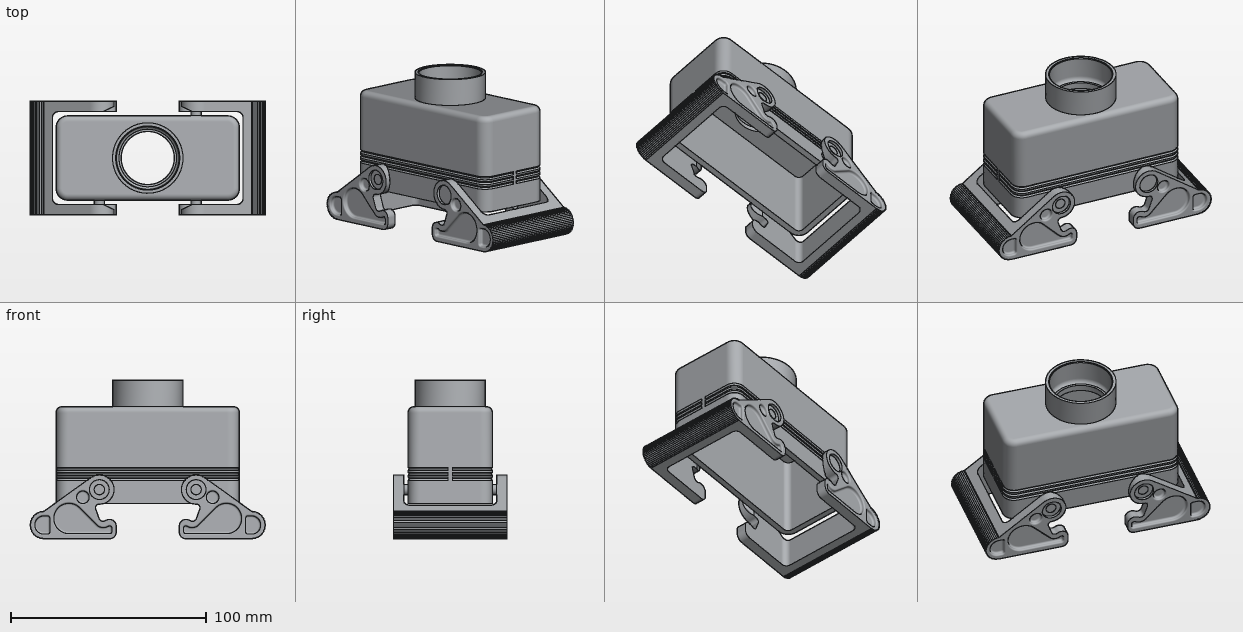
import cadquery as cq
import math

hood_length = 93.6
hood_width = 43.2
hood_bottom = 18.0
hood_top = 67.5
hood_corner_radius = 6.0
hood_top_radius = 3.0
wall = 3.0
roof = 3.0

collar_top = 81.0
collar_radius = 18.0
bore_radius = 16.0
bore_depth = 13.2
cove_width = 1.3
cove_height = 2.3
bore_lip = 0.4
entry_radius = 13.5

groove_tops = (36.5, 34.0, 31.5)
groove_width = 1.6
groove_depth = 0.7
groove_gap = 2.3

lever_width = 58.0
lever_end = 60.05
arm_thickness = 5.35
window_end = 48.6
window_radius = 3.0

grip_radius = 7.05
grip_x = grip_radius - lever_end
serration_count = 12
serration_width = 0.9
serration_depth = 0.15

pivot_x = -24.7
pivot_z = 25.15
boss_radius = 7.5
boss_bottom = pivot_z - boss_radius
pin_radius = 2.65
pin_recess_radius = 5.05
pin_recess_depth = 1.5
pin_end_height = 0.1
pin_embed = 1.0
boss_bevel_start = -23.0
boss_bevel_angle = 25.0
boss_bevel_bottom = 11.0

neck_top_x = -27.4
neck_bottom_x = -24.3
neck_top_radius = 1.8
seat_z = 9.07
seat_radius = 1.8
hook_end_x = -16.05
hook_radius = 3.5
hook_center_z = 6.5
hook_slope = math.radians(25.0)

rim_round = 0.75
recess_depth = 2.2
floor_round = 1.0
bowl_x = -40.2
bowl_z = 10.4
bowl_radius = 8.5 - rim_round
bowl_seat_radius = 4.5
bowl_end_x = -17.55 - rim_round
bowl_tip_radius = 1.9 - rim_round
bowl_tip_z = 5.45
grip_recess_radius = 5.4 - rim_round
grip_recess_side = -49.2 - rim_round
grip_recess_corner = 2.0 - rim_round
dimple_x = -33.1
dimple_z = 21.2
dimple_radius = 3.95 - rim_round


def rounded_outline(plane, corners):
    """Closed wire through (x, z, radius) corners, each replaced by a tangent arc."""
    arcs = []
    count = len(corners)
    for i in range(count):
        x, z, radius = corners[i]
        corner = cq.Vector(x, z)
        to_last = (cq.Vector(*corners[i - 1][:2]) - corner).normalized()
        to_next = (cq.Vector(*corners[(i + 1) % count][:2]) - corner).normalized()
        half_angle = to_last.getAngle(to_next) / 2
        setback = radius / math.tan(half_angle)
        reach = radius / math.sin(half_angle) - radius
        middle = corner + (to_last + to_next).normalized() * reach
        arcs.append((corner + to_last * setback, middle, corner + to_next * setback, radius))

    same_point = 1e-6
    path = plane.moveTo(*arcs[0][0].toTuple()[:2])
    position = arcs[0][0]
    for start, middle, end, radius in arcs:
        if (start - position).Length > same_point:
            path = path.lineTo(start.x, start.y)
        if radius > 0:
            path = path.threePointArc((middle.x, middle.y), (end.x, end.y))
        position = end
    return path.close()


def rounded_box(length, width, radius, bottom, top):
    plane = cq.Workplane("XY").workplane(offset=bottom)
    return plane.rect(length, width).extrude(top - bottom).edges("|Z").fillet(radius)


def groove_ring(top):
    """V-section ring round the hood, left out across the middle of each end."""
    middle = top - groove_width / 2
    lower = top - groove_width
    inner_length = hood_length - 2 * groove_depth
    inner_width = hood_width - 2 * groove_depth
    inner_corner = hood_corner_radius - groove_depth
    ring = rounded_box(hood_length, hood_width, hood_corner_radius, lower, top)
    half_height = groove_width / 2
    core = rounded_box(inner_length, inner_width, inner_corner, lower, top)
    flare = math.degrees(math.atan2(groove_depth, half_height))
    for direction in (1, -1):
        section = cq.Workplane("XY").workplane(offset=middle).sketch()
        section = section.rect(inner_length, inner_width).vertices().fillet(inner_corner).finalize()
        core = core.union(section.extrude(direction * half_height, taper=-flare))
    gap = cq.Workplane("XY").box(2 * hood_length, groove_gap, groove_width)
    return ring.cut(core).cut(gap.translate((0, 0, middle)))


def make_bore():
    """Blind bore of the collar, its wall curving inwards to a flat floor."""
    floor = collar_top - bore_depth
    profile = cq.Workplane("XZ").moveTo(0, collar_top).lineTo(bore_radius, collar_top)
    profile = profile.lineTo(bore_radius, floor + cove_height)
    profile = profile.tangentArcPoint((bore_radius - cove_width, floor), relative=False)
    return profile.lineTo(0, floor).close().revolve(360, (0, 0, 0), (0, 1, 0))


def make_hood():
    hood = rounded_box(hood_length, hood_width, hood_corner_radius, hood_bottom, hood_top)
    hood = hood.faces(">Z").edges().fillet(hood_top_radius)
    collar = cq.Workplane("XY").workplane(offset=hood_top - roof)
    hood = hood.union(collar.circle(collar_radius).extrude(collar_top - hood_top + roof))

    cavity = rounded_box(
        hood_length - 2 * wall,
        hood_width - 2 * wall,
        hood_corner_radius - wall,
        hood_bottom,
        hood_top - roof,
    )
    bore = make_bore()
    entry = cq.Workplane("XY").workplane(offset=hood_bottom)
    entry = entry.circle(entry_radius).extrude(collar_top - hood_bottom)
    hood = hood.cut(cavity).cut(bore).cut(entry)
    hood = hood.faces(">Z").edges("%CIRCLE").edges(cq.selectors.RadiusNthSelector(0)).chamfer(bore_lip)

    for top in groove_tops:
        hood = hood.cut(groove_ring(top))
    return hood


def lever_outline(plane):
    grip_top = 2 * grip_radius
    run = pivot_x - grip_x
    rise = pivot_z - grip_top
    slope = math.atan2(rise, run) + math.asin(boss_radius / math.hypot(run, rise))
    boss_side = pivot_x + boss_radius
    boss_peak = grip_top + (boss_side - grip_x) * math.tan(slope)

    hook_x = hook_end_x - hook_radius
    hook_touch_x = hook_x - hook_radius * math.sin(hook_slope)
    hook_touch_z = hook_center_z + hook_radius * math.cos(hook_slope)
    seat_x = hook_touch_x - (hook_touch_z - seat_z) / math.tan(hook_slope)
    hook_peak = hook_touch_z + (hook_end_x - hook_touch_x) * math.tan(hook_slope)

    return rounded_outline(plane, [
        (-lever_end, 0, grip_radius),
        (-lever_end, grip_top, grip_radius),
        (grip_x, grip_top, 0),
        (boss_side, boss_peak, boss_radius),
        (boss_side, boss_bottom, boss_radius),
        (neck_top_x, boss_bottom, neck_top_radius),
        (neck_bottom_x, seat_z, seat_radius),
        (seat_x, seat_z, seat_radius),
        (hook_end_x, hook_peak, hook_radius),
        (hook_end_x, 0, hook_radius),
    ])


def bowl_outline(plane):
    """Teardrop recess: round at the grip end, following the hook at the other."""
    left = bowl_x - bowl_radius
    bottom = bowl_z - bowl_radius
    flank = bowl_x + bowl_z + bowl_radius * math.sqrt(2)
    tip_x = bowl_end_x - bowl_tip_radius - bowl_tip_radius * math.sin(hook_slope)
    tip_z = bowl_tip_z + bowl_tip_radius * math.cos(hook_slope)
    slope = math.tan(hook_slope)
    seat_x = (flank - tip_z + slope * tip_x) / (1 + slope)
    peak = tip_z + (bowl_end_x - tip_x) * slope
    return rounded_outline(plane, [
        (left, bottom, bowl_radius),
        (left, flank - left, bowl_radius),
        (seat_x, flank - seat_x, bowl_seat_radius),
        (bowl_end_x, peak, bowl_tip_radius),
        (bowl_end_x, bottom, bowl_tip_radius),
    ])


def grip_recess_outline(plane):
    left = grip_x - grip_recess_radius
    bottom = grip_radius - grip_recess_radius
    top = grip_radius + grip_recess_radius
    return rounded_outline(plane, [
        (left, bottom, grip_recess_radius),
        (left, top, grip_recess_radius),
        (grip_recess_side, top, grip_recess_corner),
        (grip_recess_side, bottom, grip_recess_corner),
    ])


def arm_face():
    """Outer face of the arm on the -Y side."""
    return cq.Workplane("XZ").workplane(offset=lever_width / 2)


def arm_recesses():
    """Recesses of the -Y arm, each flared to a rounded rim and filleted round its floor."""
    outlines = [
        bowl_outline(arm_face()),
        grip_recess_outline(arm_face()),
        arm_face().center(dimple_x, dimple_z).circle(dimple_radius),
    ]
    recesses = []
    for outline in outlines:
        recess = outline.extrude(-recess_depth)
        recesses.append(recess.faces(">Y").edges().fillet(floor_round))
    return recesses


def serrations():
    """Shallow slots along the outer half of the grip, about as wide as the lands between them."""
    pitch = 180 / serration_count
    slot = cq.Workplane("XY").box(2 * serration_depth, lever_width, serration_width)
    slot = slot.translate((grip_radius, 0, 0))
    slots = []
    for i in range(serration_count):
        angle = 90 + (i + 0.5) * pitch
        turned = slot.rotate((0, 0, 0), (0, 1, 0), -angle)
        slots.append(turned.translate((grip_x, 0, grip_radius)))
    return slots


def boss_bevel():
    """Wedge taken off the inner face of the -Y boss, deepening towards its free side."""
    inner_y = arm_thickness - lever_width / 2
    run = 2 * boss_radius
    depth = run * math.tan(math.radians(boss_bevel_angle))
    wedge = cq.Workplane("XY").workplane(offset=boss_bevel_bottom)
    return wedge.polyline([
        (boss_bevel_start, inner_y),
        (boss_bevel_start + run, inner_y),
        (boss_bevel_start + run, inner_y - depth),
    ]).close().extrude(4 * boss_radius)


def make_lever():
    lever = lever_outline(arm_face()).extrude(-lever_width)
    inner_width = lever_width - 2 * arm_thickness
    window = cq.Workplane("XY").rect(2 * window_end, inner_width).extrude(lever_width)
    lever = lever.cut(window.edges("|Z").fillet(window_radius))

    pin_recess = arm_face().center(pivot_x, pivot_z).circle(pin_recess_radius).extrude(-pin_recess_depth)
    for recess in arm_recesses():
        lever = lever.cut(recess).cut(recess.mirror("XZ"))
    for side in ("<Y", ">Y"):
        rims = lever.faces(side).val().innerWires()
        rim_edges = [edge for rim in rims for edge in rim.Edges()]
        lever = lever.newObject(rim_edges).fillet(rim_round)
    for cutter in (pin_recess, boss_bevel()):
        lever = lever.cut(cutter).cut(cutter.mirror("XZ"))
    for slot in serrations():
        lever = lever.cut(slot)
    return lever


def pivot_pin():
    """Pin through the -Y arm into the hood wall at the -X pivot."""
    outer_y = lever_width / 2 - pin_recess_depth + pin_end_height
    inner_y = hood_width / 2 - pin_embed
    pin = cq.Workplane("XZ").workplane(offset=inner_y).center(pivot_x, pivot_z)
    return pin.circle(pin_radius).extrude(outer_y - inner_y)


lever = make_lever()
pin = pivot_pin()
pins = pin.union(pin.mirror("YZ")).union(pin.mirror("YZ").mirror("XZ"))
result = make_hood().union(lever).union(lever.mirror("YZ")).union(pins)